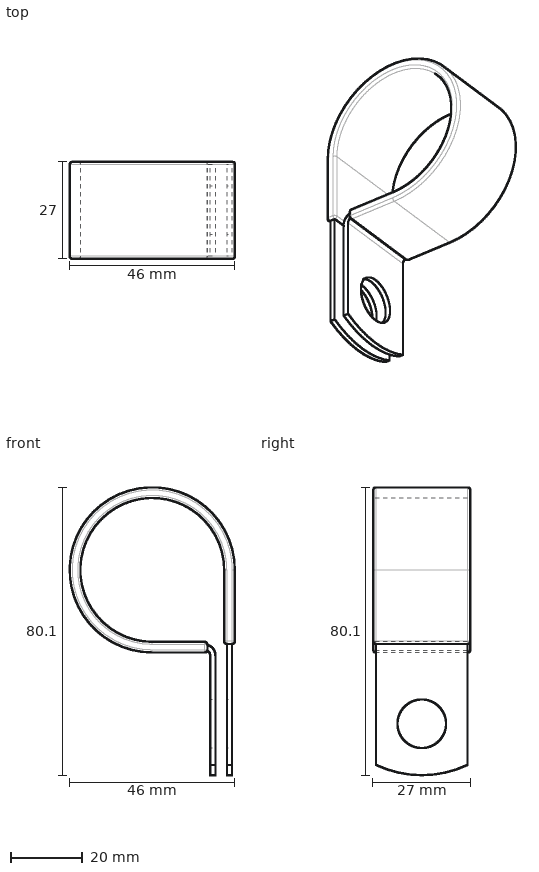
import cadquery as cq
import math

height = 80.1
outer_radius = 23.0
strap_thickness = 1.5
cushion_wall = 0.75
cushion_width = 27.0
leg_gap = 3.1
side_cushion_end = 20.6
bottom_cushion_end = 15.3
bend_inner_radius = 1.5
hole_diameter = 13.45
hole_above_tip = 14.3
tip_rise = 2.9

inner_radius = outer_radius - strap_thickness - 2 * cushion_wall
strap_outer = outer_radius - cushion_wall
strap_inner = strap_outer - strap_thickness
strap_width = cushion_width - 2 * cushion_wall
tip_z = outer_radius - height
leg_outer = strap_inner - leg_gap
leg_inner = leg_outer - strap_thickness
bend_outer_radius = bend_inner_radius + strap_thickness
bend_x = leg_inner - bend_inner_radius
bend_z = -strap_outer - bend_inner_radius
diagonal = math.sqrt(0.5)

tolerance = 0.01


def loop_band(outer, inner, side_end, bottom_end, width):
    """Three-quarter ring with a straight run down the side and one along the bottom."""
    return (
        cq.Workplane("XZ")
        .moveTo(outer, -side_end)
        .lineTo(outer, 0)
        .threePointArc((-outer * diagonal, outer * diagonal), (0, -outer))
        .lineTo(bottom_end, -outer)
        .lineTo(bottom_end, -inner)
        .lineTo(0, -inner)
        .threePointArc((-inner * diagonal, inner * diagonal), (inner, 0))
        .lineTo(inner, -side_end)
        .close()
        .extrude(width / 2, both=True)
    )


def bent_leg():
    """Leg that turns down from the bottom run of the loop."""
    return (
        cq.Workplane("XZ")
        .moveTo(bend_x, -strap_inner)
        .radiusArc((leg_outer, bend_z), bend_outer_radius)
        .lineTo(leg_outer, tip_z)
        .lineTo(leg_inner, tip_z)
        .lineTo(leg_inner, bend_z)
        .radiusArc((bend_x, -strap_outer), -bend_inner_radius)
        .close()
        .extrude(strap_width / 2, both=True)
    )


def leg_outline():
    """Block with the rounded lower end and the bolt hole shared by both legs."""
    half_width = strap_width / 2
    outline = (
        cq.Workplane("YZ")
        .moveTo(-half_width, strap_outer)
        .lineTo(-half_width, tip_z + tip_rise)
        .threePointArc((0, tip_z), (half_width, tip_z + tip_rise))
        .lineTo(half_width, strap_outer)
        .close()
        .extrude(outer_radius, both=True)
    )
    hole = (
        cq.Workplane("YZ")
        .center(0, tip_z + hole_above_tip)
        .circle(hole_diameter / 2)
        .extrude(outer_radius)
    )
    return outline.cut(hole)


strap = loop_band(strap_outer, strap_inner, -tip_z, bend_x, strap_width)
strap = strap.union(bent_leg()).intersect(leg_outline())

cushion = loop_band(outer_radius, inner_radius, side_cushion_end, bottom_cushion_end, cushion_width)


def is_rounded(edge):
    """True for the side rims and for the corners across the two cushion ends."""
    center = edge.Center()
    on_rim = abs(abs(center.y) - cushion_width / 2) < tolerance
    on_side_end = abs(center.z + side_cushion_end) < tolerance
    on_bottom_end = abs(center.x - bottom_cushion_end) < tolerance
    return on_rim or on_side_end or on_bottom_end


cushion = cushion.newObject(cushion.edges().filter(is_rounded).vals()).fillet(cushion_wall)

result = cushion.union(strap)